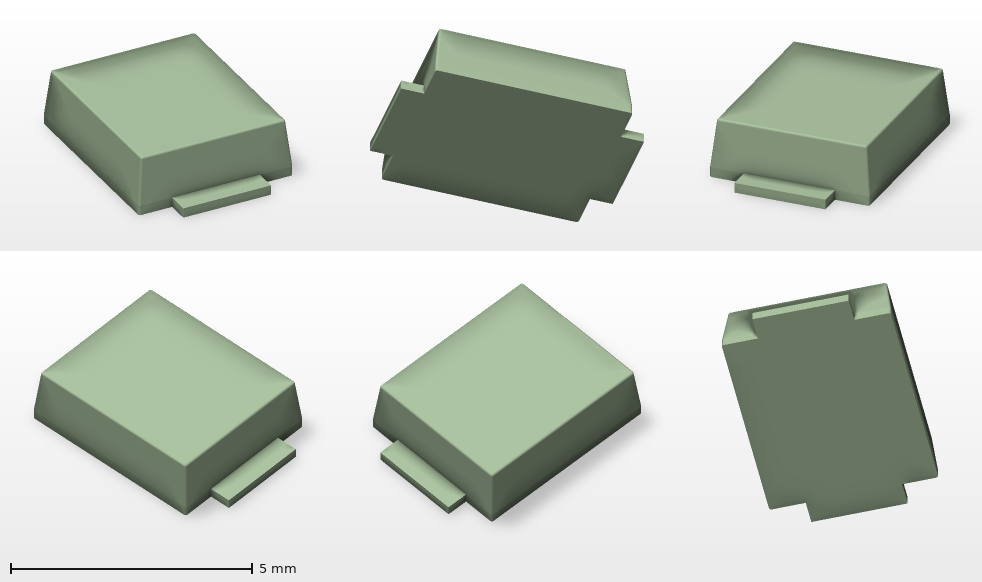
import cadquery as cq
import math

OVERALL_LENGTH = 5.3
BODY_LENGTH = 4.3
BODY_WIDTH = 3.6
BODY_HEIGHT = 1.3

BASE_HEIGHT = 0.22
DRAFT_ANGLE = 6.0
EDGE_RADIUS = 0.05

LEAD_LENGTH = (OVERALL_LENGTH - BODY_LENGTH) / 2
LEAD_WIDTH = 2.05
LEAD_HEIGHT = BASE_HEIGHT

BAND_LENGTH = 0.25
BAND_DEPTH = 0.025

draft = math.radians(DRAFT_ANGLE)
wall_inset = (BODY_HEIGHT - BASE_HEIGHT) * math.tan(draft)
rim_setback = EDGE_RADIUS * math.tan((math.pi / 2 - draft) / 2)
flat_half_length = BODY_LENGTH / 2 - wall_inset - rim_setback
flat_width = BODY_WIDTH - 2 * (wall_inset + rim_setback)


def make_band():
    """Thin strip that spans the flat top face along Y."""
    return (
        cq.Workplane("XY")
        .workplane(offset=BODY_HEIGHT - BAND_DEPTH)
        .center(-flat_half_length + BAND_LENGTH / 2, 0)
        .rect(BAND_LENGTH, flat_width)
        .extrude(BAND_DEPTH)
    )


def make_housing(band):
    """Straight foot with drafted walls above it, rounded, and recessed for the band."""
    foot = cq.Workplane("XY").rect(BODY_LENGTH, BODY_WIDTH).extrude(BASE_HEIGHT)
    drafted_shape = (
        foot.faces(">Z")
        .workplane()
        .rect(BODY_LENGTH, BODY_WIDTH)
        .extrude(BODY_HEIGHT - BASE_HEIGHT, taper=DRAFT_ANGLE)
    )
    rounded = drafted_shape.edges("(not #Z) or >Z").fillet(EDGE_RADIUS)
    return rounded.cut(band)


def make_lead(side):
    """Flat lead that butts against the end wall on the given side (-1 or +1 along X)."""
    return (
        cq.Workplane("XY")
        .center(side * (BODY_LENGTH + LEAD_LENGTH) / 2, 0)
        .rect(LEAD_LENGTH, LEAD_WIDTH)
        .extrude(LEAD_HEIGHT)
    )


band = make_band()
housing = make_housing(band)
leads = [make_lead(side) for side in (-1, 1)]

result = cq.Compound.makeCompound([housing.val(), band.val(), *[lead.val() for lead in leads]])